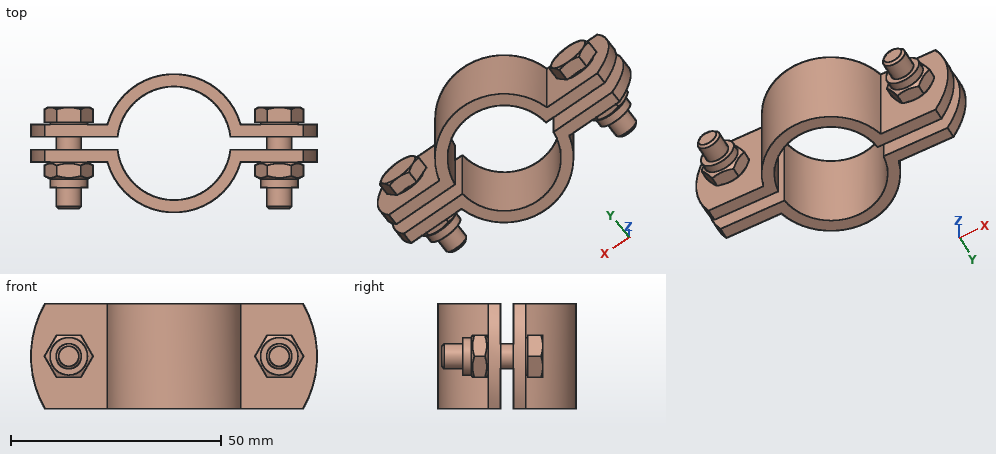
import cadquery as cq
import math

OVERALL_LENGTH = 68.0
CLAMP_WIDTH = 25.0
STRAP_THICKNESS = 3.0
GAP = 3.0
RING_OUTER_RADIUS = 16.45
RING_INNER_RADIUS = RING_OUTER_RADIUS - STRAP_THICKNESS
EAR_END_RADIUS = 25.0
EAR_INNER_Y = GAP / 2
EAR_OUTER_Y = EAR_INNER_Y + STRAP_THICKNESS

BOLT_SPACING = 50.0
BOLT_X = BOLT_SPACING / 2
SHANK_DIAMETER = 6.0
SHANK_LENGTH = 20.0
TIP_CHAMFER = 0.6
ACROSS_FLATS = 10.0
ACROSS_CORNERS = ACROSS_FLATS / math.cos(math.radians(30))
HEX_HEIGHT = 4.0
COLLAR_DIAMETER = 8.9
WASHER_FACE_HEIGHT = 0.5

NUT_HEIGHT = 6.05
NUT_SEAT_DIAMETER = COLLAR_DIAMETER

CORNER_SLOPE = math.tan(math.radians(30))


def cylinder_y(diameter, y_start, y_end):
    """Cylinder along the Y axis between two Y positions."""
    return (
        cq.Workplane("XZ", origin=(0, y_end, 0))
        .circle(diameter / 2)
        .extrude(y_end - y_start)
    )


def hexagon_y(y_start, y_end):
    """Hexagonal prism along Y with two corners on the X axis."""
    return (
        cq.Workplane("XZ", origin=(0, y_end, 0))
        .polygon(6, ACROSS_CORNERS)
        .extrude(y_end - y_start)
    )


def corner_cone(face_diameter, face_y, direction):
    """Cone that chamfers hexagon corners, widening from a face along +Y or -Y."""
    face_radius = face_diameter / 2
    end_radius = face_radius + HEX_HEIGHT / CORNER_SLOPE
    end_y = face_y + direction * HEX_HEIGHT
    return (
        cq.Workplane("XY")
        .polyline([(0, face_y), (face_radius, face_y), (end_radius, end_y), (0, end_y)])
        .close()
        .revolve(360, (0, 0, 0), (0, 1, 0))
    )


def make_rear_half():
    """Half ring with two ears, on the +Y side of the gap."""
    half_length = OVERALL_LENGTH / 2
    outer_x = math.sqrt(RING_OUTER_RADIUS**2 - EAR_OUTER_Y**2)
    inner_x = math.sqrt(RING_INNER_RADIUS**2 - EAR_INNER_Y**2)
    strap = (
        cq.Workplane("XY")
        .moveTo(-half_length, EAR_INNER_Y)
        .lineTo(-inner_x, EAR_INNER_Y)
        .threePointArc((0, RING_INNER_RADIUS), (inner_x, EAR_INNER_Y))
        .lineTo(half_length, EAR_INNER_Y)
        .lineTo(half_length, EAR_OUTER_Y)
        .lineTo(outer_x, EAR_OUTER_Y)
        .threePointArc((0, RING_OUTER_RADIUS), (-outer_x, EAR_OUTER_Y))
        .lineTo(-half_length, EAR_OUTER_Y)
        .close()
        .extrude(CLAMP_WIDTH / 2, both=True)
    )

    half_width = CLAMP_WIDTH / 2
    end_sagitta = EAR_END_RADIUS - math.sqrt(EAR_END_RADIUS**2 - half_width**2)
    corner_x = half_length - end_sagitta
    ear_outline = (
        cq.Workplane("XZ")
        .moveTo(-corner_x, -half_width)
        .lineTo(corner_x, -half_width)
        .threePointArc((half_length, 0), (corner_x, half_width))
        .lineTo(-corner_x, half_width)
        .threePointArc((-half_length, 0), (-corner_x, -half_width))
        .close()
        .extrude(RING_OUTER_RADIUS, both=True)
    )

    half = strap.intersect(ear_outline)
    for side in (-1, 1):
        hole = cylinder_y(SHANK_DIAMETER, EAR_INNER_Y, EAR_OUTER_Y)
        half = half.cut(hole.translate((side * BOLT_X, 0, 0)))
    return half


def make_bolt():
    """Hexagon bolt on the Y axis, with its head against the rear ear."""
    head_top = EAR_OUTER_Y + HEX_HEIGHT
    head_bottom = EAR_OUTER_Y + WASHER_FACE_HEIGHT
    head = hexagon_y(head_bottom, head_top).intersect(corner_cone(ACROSS_FLATS, head_top, -1))
    washer_face = cylinder_y(COLLAR_DIAMETER, EAR_OUTER_Y, head_bottom)
    shank = cylinder_y(SHANK_DIAMETER, EAR_OUTER_Y - SHANK_LENGTH, EAR_OUTER_Y)
    shank = shank.faces("<Y").chamfer(TIP_CHAMFER)
    return head.union(washer_face).union(shank)


def make_nut():
    """Collared hexagon nut on the Y axis, seated on the front ear."""
    seat_y = -EAR_OUTER_Y
    hex_end_y = seat_y - HEX_HEIGHT
    collar_end_y = seat_y - NUT_HEIGHT
    nut = (
        hexagon_y(hex_end_y, seat_y)
        .intersect(corner_cone(NUT_SEAT_DIAMETER, seat_y, -1))
        .intersect(corner_cone(COLLAR_DIAMETER, hex_end_y, 1))
        .union(cylinder_y(COLLAR_DIAMETER, collar_end_y, hex_end_y))
    )
    return nut.cut(cylinder_y(SHANK_DIAMETER, collar_end_y, seat_y))


rear_half = make_rear_half()
front_half = rear_half.mirror("XZ")

bolts = []
nuts = []
for side in (-1, 1):
    offset = (side * BOLT_X, 0, 0)
    bolts.append(make_bolt().translate(offset).solids().val())
    nuts.append(make_nut().translate(offset).solids().val())

result = cq.Compound.makeCompound(
    [rear_half.solids().val(), front_half.solids().val(), *bolts, *nuts]
)